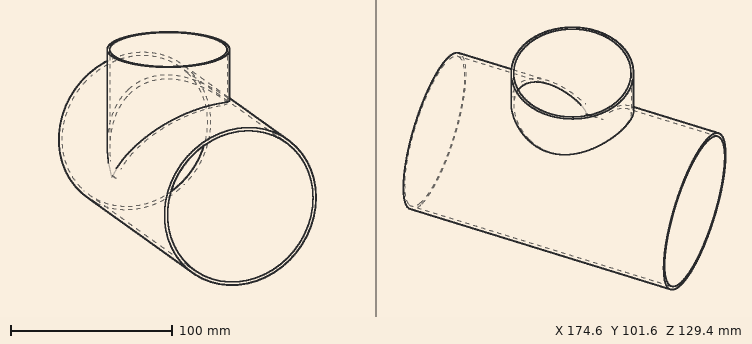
import cadquery as cq

run_length = 174.6
run_outer_diameter = 101.6
run_inner_diameter = 97.5

branch_outer_diameter = 76.1
branch_inner_diameter = 72.8
overall_height = 129.4

branch_top = overall_height - run_outer_diameter / 2
branch_y = (branch_outer_diameter - run_outer_diameter) / 2


def run_cylinder(diameter):
    """Cylinder along X, centred on the origin."""
    return cq.Workplane("YZ").circle(diameter / 2).extrude(run_length / 2, both=True)


def branch_cylinder(diameter):
    """Cylinder from the main pipe's axis plane up to the branch rim."""
    return (
        cq.Workplane("XY")
        .center(0, branch_y)
        .circle(diameter / 2)
        .extrude(branch_top)
    )


outside = run_cylinder(run_outer_diameter).union(branch_cylinder(branch_outer_diameter))
result = outside.cut(run_cylinder(run_inner_diameter)).cut(branch_cylinder(branch_inner_diameter))